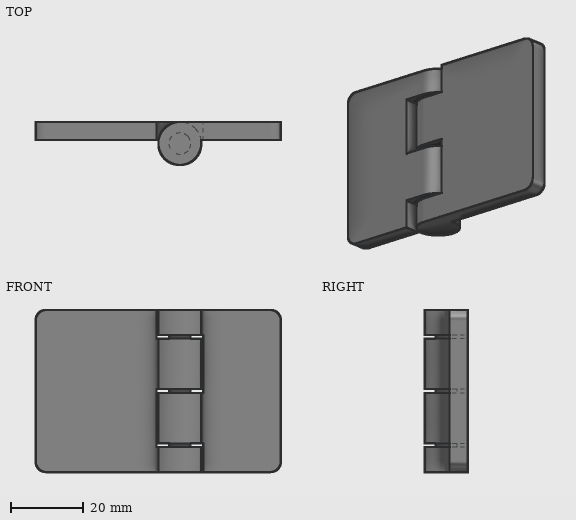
import cadquery as cq

width = 68.0
height = 45.0
leaf_thickness = 5.0
corner_radius = 3.0

knuckle_diameter = 12.0
knuckle_radius = knuckle_diameter / 2
pin_diameter = 6.0
left_reach = 40.0
right_reach = width - left_reach
side_clearance = 0.5
end_gap = 1.0
end_knuckle = 7.0
middle_knuckle = (height - 2 * end_knuckle - 3 * end_gap) / 2

back_y = knuckle_radius
leaf_front_y = back_y - leaf_thickness
leaf_inner_edge = knuckle_radius + side_clearance


def leaf_block(x_start, x_end, z_bottom, z_height):
    """Block of leaf thickness between two X positions."""
    return cq.Workplane("XY").box(
        x_end - x_start, leaf_thickness, z_height, centered=False
    ).translate((x_start, leaf_front_y, z_bottom))


def leaf(side):
    """Plate with rounded outer corners; side is -1 for left, +1 for right."""
    if side < 0:
        plate = leaf_block(-left_reach, -leaf_inner_edge, 0, height)
        return plate.edges("|Y and <X").fillet(corner_radius)
    plate = leaf_block(leaf_inner_edge, right_reach, 0, height)
    return plate.edges("|Y and >X").fillet(corner_radius)


def knuckle(side, z_bottom, length):
    """Barrel section joined to one leaf by a web tangent to its back."""
    barrel = cq.Workplane("XY", origin=(0, 0, z_bottom)).circle(knuckle_radius).extrude(length)
    x_start, x_end = sorted((0, side * leaf_inner_edge))
    return barrel.union(leaf_block(x_start, x_end, z_bottom, length))


result = cq.Workplane("XY").circle(pin_diameter / 2).extrude(height)

for leaf_side in (-1, 1):
    result = result.union(leaf(leaf_side))

knuckle_bottom = 0
knuckle_side = -1
for knuckle_length in (end_knuckle, middle_knuckle, middle_knuckle, end_knuckle):
    result = result.union(knuckle(knuckle_side, knuckle_bottom, knuckle_length))
    knuckle_bottom += knuckle_length + end_gap
    knuckle_side = -knuckle_side